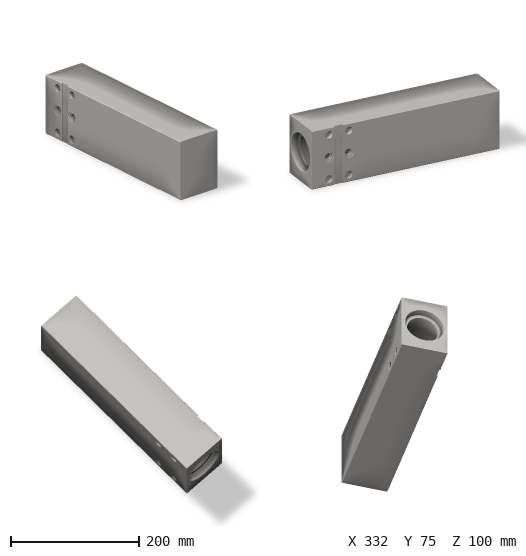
import cadquery as cq

length = 332.0
width = 75.0
height = 100.0
edge_chamfer = 1.0
front_face = -width / 2
left_end = -length / 2

bore_diameter = 50.0
end_wall = 30.0
seat_diameter = 62.0
seat_depth = 11.5
seat_chamfer = 0.5

first_column = 30.2
column_spacing = 35.2
groove_width = 15.0
groove_depth = 2.0
groove_left = first_column + (column_spacing - groove_width) / 2

bolt_hole_diameter = 13.0
bolt_row_offset = 38.0
port_steps = [(18.0, 1.3), (13.0, 3.0), (10.3, 8.3)]

columns = [left_end + first_column + i * column_spacing for i in range(2)]


def cylinder_x(diameter, depth):
    """Cylinder entering the left end along +X."""
    return cq.Workplane("YZ", origin=(left_end, 0, 0)).circle(diameter / 2).extrude(depth)


def cylinder_y(diameter, depth, x, z):
    """Cylinder entering the front face along +Y."""
    return cq.Workplane("XZ", origin=(x, front_face, z)).circle(diameter / 2).extrude(-depth)


def stepped_bore():
    """Bore with a wider, chamfered seat at its mouth."""
    mouth = cq.Solid.makeCone(
        seat_diameter / 2 + seat_chamfer,
        seat_diameter / 2,
        seat_chamfer,
        cq.Vector(left_end, 0, 0),
        cq.Vector(1, 0, 0),
    )
    bore = cylinder_x(bore_diameter, length - end_wall)
    return bore.union(cylinder_x(seat_diameter, seat_depth)).union(cq.Workplane(mouth))


def port(x):
    """Blind port with flat, concentric steps."""
    steps = cq.Workplane("XY")
    for diameter, depth in port_steps:
        steps = steps.union(cylinder_y(diameter, depth, x, 0))
    return steps


body = cq.Workplane("XY").box(length, width, height).edges("|X").chamfer(edge_chamfer)

groove = cq.Workplane("XY").box(groove_width, groove_depth, height, centered=(False, False, True))
groove = groove.translate((left_end + groove_left, front_face, 0))

result = body.cut(groove).cut(stepped_bore())
for column in columns:
    result = result.cut(port(column))
    for row in (-bolt_row_offset, bolt_row_offset):
        result = result.cut(cylinder_y(bolt_hole_diameter, width, column, row))